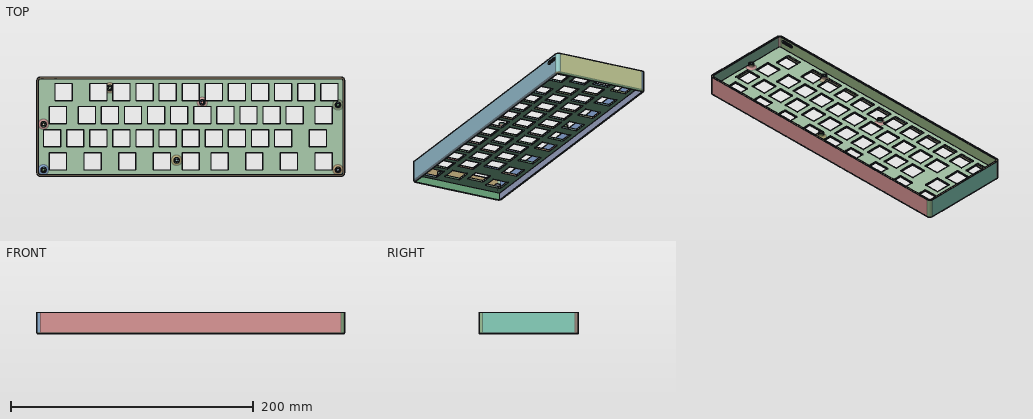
import cadquery as cq
import math

LENGTH = 254.0
WIDTH = 82.0
HEIGHT = 17.8
WALL = 1.5
CORNER_RADIUS = 3.0
BOTTOM_FILLET = 1.0
PLATE_TOP = 7.5
PLATE_THICKNESS = 1.5

PITCH = 19.0
KEY_OPENING = 14.0
KEYCAP_CLEARANCE = 1.3
KEY_ROWS = [
    [2] + [1] * 11,
    [1.5] + [1] * 10 + [1.5],
    [1] * 11 + [2],
    [1.5] * 4 + [1] + [1.5] * 4,
]

BOSS_DIAMETER = 4.5
BOSS_BASE_DIAMETER = 8.6
BOSS_HEIGHT = 3.8
SCREW_DIAMETER = 2.46
SCREW_DEPTH = BOSS_HEIGHT
DRILL_POINT_ANGLE = 118
SIDE_BOSS_X = 121.5
FRONT_BOSS_Y = -35.5
BOSS_CENTRES = [
    (-SIDE_BOSS_X, FRONT_BOSS_Y),
    (SIDE_BOSS_X, FRONT_BOSS_Y),
    (-SIDE_BOSS_X, 2.0),
    (SIDE_BOSS_X, 18.0),
    (-3.5 * PITCH, 32.0),
    (0.5 * PITCH, 20.0),
    (-11.7, -27.7),
]

SLOT_LENGTH = 11.7
SLOT_HEIGHT = 2.8
SLOT_X = -116.8
SLOT_Z = 14.2


def make_tray():
    outer = (
        cq.Workplane("XY")
        .box(LENGTH, WIDTH, HEIGHT, centered=(True, True, False))
        .edges("|Z")
        .fillet(CORNER_RADIUS)
        .faces("<Z")
        .edges()
        .fillet(BOTTOM_FILLET)
    )
    cavity = (
        cq.Workplane("XY", origin=(0, 0, PLATE_TOP))
        .box(LENGTH - 2 * WALL, WIDTH - 2 * WALL, HEIGHT - PLATE_TOP, centered=(True, True, False))
        .edges("|Z")
        .fillet(CORNER_RADIUS - WALL)
    )
    return outer.cut(cavity)


def make_keycap_recess():
    length = sum(KEY_ROWS[0]) * PITCH + 2 * KEYCAP_CLEARANCE
    width = len(KEY_ROWS) * PITCH + 2 * KEYCAP_CLEARANCE
    depth = PLATE_TOP - PLATE_THICKNESS
    return cq.Workplane("XY").box(length, width, depth, centered=(True, True, False))


def key_centres():
    centres = []
    for row, widths in enumerate(KEY_ROWS):
        y = ((len(KEY_ROWS) - 1) / 2 - row) * PITCH
        left = -sum(widths) / 2 * PITCH
        for width in widths:
            centres.append((left + width * PITCH / 2, y))
            left += width * PITCH
    return centres


def make_key_openings():
    return (
        cq.Workplane("XY")
        .pushPoints(key_centres())
        .rect(KEY_OPENING, KEY_OPENING)
        .extrude(HEIGHT)
    )


def revolve_at_bosses(profile, base_z):
    """Spin a half profile about its vertical axis and copy it to every boss centre."""
    body = profile.revolve(360, (0, 0, 0), (0, 1, 0)).val()
    centres = cq.Workplane("XY", origin=(0, 0, base_z)).pushPoints(BOSS_CENTRES)
    return centres.eachpoint(lambda place: body.moved(place), combine="a")


def make_bosses():
    base_radius = BOSS_BASE_DIAMETER / 2
    top_radius = BOSS_DIAMETER / 2
    flare = base_radius - top_radius
    profile = (
        cq.Workplane("XZ")
        .lineTo(base_radius, 0)
        .radiusArc((top_radius, flare), flare)
        .lineTo(top_radius, BOSS_HEIGHT)
        .lineTo(0, BOSS_HEIGHT)
        .close()
    )
    return revolve_at_bosses(profile, PLATE_TOP)


def make_screw_holes():
    radius = SCREW_DIAMETER / 2
    tip_depth = radius / math.tan(math.radians(DRILL_POINT_ANGLE / 2))
    profile = (
        cq.Workplane("XZ")
        .lineTo(radius, 0)
        .lineTo(radius, -SCREW_DEPTH)
        .lineTo(0, -SCREW_DEPTH - tip_depth)
        .close()
    )
    return revolve_at_bosses(profile, PLATE_TOP + BOSS_HEIGHT)


def make_cable_slot():
    return (
        cq.Workplane("XZ", origin=(SLOT_X, WIDTH / 2, SLOT_Z))
        .slot2D(SLOT_LENGTH, SLOT_HEIGHT)
        .extrude(2 * WALL)
    )


result = (
    make_tray()
    .union(make_bosses())
    .cut(make_keycap_recess())
    .cut(make_key_openings())
    .cut(make_screw_holes())
    .cut(make_cable_slot())
)